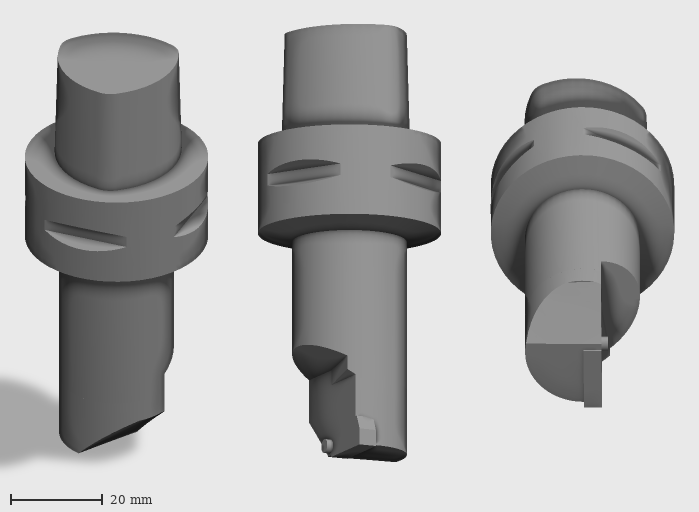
import cadquery as cq
import math

TOTAL_LENGTH = 94.1
COLLAR_TOP = 70.1
COLLAR_BOTTOM = 50.1
CONE_BOTTOM = 48.2
HEAD_TOP = 15.1

COLLAR_RADIUS = 40.0 / 2
NECK_RADIUS = 25.0 / 2
MARGIN = 4.7

LOBE_RADIUS = 15.0
FLANK_RADIUS = 13.1
LOBE_HALF_WIDTH = 2.35
LOBE_EDGE = 14.4
TAPER = 1 / 36

SLOT_COUNT = 4
SLOT_LEVEL = 60.1
SLOT_FLOOR = 17.5
SLOT_FLOOR_HEIGHT = 2.5
SLOT_MOUTH_HEIGHT = 5.5

FACE_ANGLE = 15.0
FACE_OFFSET = 4.1
RAMP_START = 19.3
RAMP_SLOPE = 0.53
STEP_BOTTOM = 16.0
STEP_TOP = 17.3
STEP_HEIGHT = 1.9
STRIP_START = 0.5

HEAD_BOTTOM_FRONT = 0.4
HEAD_BOTTOM_BACK = 0.75
RELIEF_START = (12.1, 10.2)
RELIEF_MID = (8.75, 7.1)
RELIEF_END = (2.3, 0.6)

INSERT_TIP = -13.7
INSERT_SHOULDER = -12.3
INSERT_END = 0.75
INSERT_LAND = 3.6
INSERT_HEIGHT = 6.7
INSERT_THICKNESS = 3.95

SCREW_RADIUS = 3.0 / 2
SCREW_POSITION = (1.1, 2.4)
SCREW_DEPTH = 3.95
SCREW_PROUD = 1.4


def face_plane(distance):
    """Plane parallel to the chip face, with local X along the face and local Y up Z."""
    angle = math.radians(FACE_ANGLE)
    along = (math.cos(angle), math.sin(angle), 0)
    inward = (math.sin(angle), -math.cos(angle), 0)
    origin = tuple(-distance * part for part in inward)
    return cq.Plane(origin=origin, xDir=along, normal=inward)


def prism_along_face(profile):
    """Solid from (distance from the axis, level) points, running right across the part."""
    solid = cq.Workplane("YZ").polyline(profile).close().extrude(COLLAR_RADIUS, both=True)
    return solid.rotate((0, 0, 0), (0, 0, 1), FACE_ANGLE)


def lobed_section(level, shrink):
    """Closed outline of three lobe arcs and three flank arcs, with one lobe on +Y."""
    edge_scale = 1 - shrink / math.hypot(LOBE_HALF_WIDTH, LOBE_EDGE)
    edge_angle = math.degrees(math.atan2(LOBE_HALF_WIDTH, LOBE_EDGE))
    edge_radius = math.hypot(LOBE_HALF_WIDTH, LOBE_EDGE) * edge_scale

    def polar(radius, degrees):
        angle = math.radians(degrees)
        return (radius * math.cos(angle), radius * math.sin(angle), level)

    edges = []
    for lobe in (90, 210, 330):
        lobe_start = polar(edge_radius, lobe - edge_angle)
        lobe_tip = polar(LOBE_RADIUS - shrink, lobe)
        lobe_end = polar(edge_radius, lobe + edge_angle)
        flank_mid = polar(FLANK_RADIUS - shrink, lobe + 60)
        flank_end = polar(edge_radius, lobe + 120 - edge_angle)
        edges.append(cq.Edge.makeThreePointArc(lobe_start, lobe_tip, lobe_end))
        edges.append(cq.Edge.makeThreePointArc(lobe_end, flank_mid, flank_end))
    return cq.Wire.assembleEdges(edges)


def make_shank():
    shrink = TAPER * (TOTAL_LENGTH - COLLAR_TOP)
    base = lobed_section(COLLAR_TOP, 0)
    top = lobed_section(TOTAL_LENGTH, shrink)
    return cq.Workplane(cq.Solid.makeLoft([base, top], True))


def cut_gripper_slots(body):
    depth = COLLAR_RADIUS - SLOT_FLOOR
    flare = (SLOT_MOUTH_HEIGHT - SLOT_FLOOR_HEIGHT) / 2 / depth
    reach = SLOT_FLOOR_HEIGHT / 2 + flare * (depth + MARGIN)
    outer = COLLAR_RADIUS + MARGIN
    profile = [
        (SLOT_FLOOR, SLOT_LEVEL - SLOT_FLOOR_HEIGHT / 2),
        (outer, SLOT_LEVEL - reach),
        (outer, SLOT_LEVEL + reach),
        (SLOT_FLOOR, SLOT_LEVEL + SLOT_FLOOR_HEIGHT / 2),
    ]
    slot = cq.Workplane("XZ").polyline(profile).close().extrude(COLLAR_RADIUS, both=True)
    spacing = 360 / SLOT_COUNT
    for index in range(SLOT_COUNT):
        body = body.cut(slot.rotate((0, 0, 0), (0, 0, 1), spacing * (index + 0.5)))
    return body


def make_chip_space():
    """Space in front of the chip face, up to the ramp."""
    outer = COLLAR_RADIUS
    ramp_end = RAMP_START + RAMP_SLOPE * (outer - FACE_OFFSET)
    return prism_along_face([
        (FACE_OFFSET, -MARGIN),
        (FACE_OFFSET, RAMP_START),
        (outer, ramp_end),
        (outer, -MARGIN),
    ])


def make_raised_strip():
    """Wedge that stays on the neck, rising towards -X and sloping off at its lower end."""
    edge = -NECK_RADIUS
    wedge = (
        cq.Workplane("XY").workplane(offset=STEP_BOTTOM)
        .polyline([(STRIP_START, FACE_OFFSET), (edge, FACE_OFFSET), (edge, FACE_OFFSET + STEP_HEIGHT)])
        .close().extrude(RAMP_START + MARGIN - STEP_BOTTOM)
        .rotate((0, 0, 0), (0, 0, 1), FACE_ANGLE)
    )
    top = RAMP_START + MARGIN
    sloped_end = prism_along_face([
        (FACE_OFFSET, STEP_BOTTOM),
        (FACE_OFFSET + STEP_HEIGHT, STEP_TOP),
        (FACE_OFFSET + STEP_HEIGHT, top),
        (FACE_OFFSET, top),
    ])
    return wedge.intersect(sloped_end)


def make_holder(chip_space):
    turned = (
        cq.Workplane("XZ")
        .polyline([
            (0, HEAD_TOP),
            (NECK_RADIUS, HEAD_TOP),
            (NECK_RADIUS, CONE_BOTTOM),
            (COLLAR_RADIUS, COLLAR_BOTTOM),
            (COLLAR_RADIUS, COLLAR_TOP),
            (0, COLLAR_TOP),
        ])
        .close().revolve(360, (0, 0, 0), (0, 1, 0))
    )
    body = cut_gripper_slots(turned).union(make_shank())
    return body.cut(chip_space.cut(make_raised_strip()))


def make_head(chip_space):
    blank = cq.Workplane("XY").circle(NECK_RADIUS).extrude(HEAD_TOP)
    end_face = prism_along_face([
        (FACE_OFFSET, HEAD_BOTTOM_FRONT),
        (-NECK_RADIUS, HEAD_BOTTOM_BACK),
        (-NECK_RADIUS, -MARGIN),
        (FACE_OFFSET, -MARGIN),
    ])
    relief = (
        cq.Workplane("XZ").moveTo(*RELIEF_START)
        .threePointArc(RELIEF_MID, RELIEF_END)
        .lineTo(RELIEF_END[0], -MARGIN)
        .lineTo(COLLAR_RADIUS, -MARGIN)
        .lineTo(COLLAR_RADIUS, RELIEF_START[1])
        .close().extrude(COLLAR_RADIUS, both=True)
        .rotate((0, 0, 0), (0, 0, 1), FACE_ANGLE)
    )
    return blank.cut(chip_space).cut(end_face).cut(relief)


def make_insert():
    return (
        cq.Workplane(face_plane(FACE_OFFSET))
        .polyline([
            (INSERT_TIP, 0),
            (INSERT_TIP, INSERT_LAND),
            (INSERT_SHOULDER, INSERT_HEIGHT),
            (INSERT_END, INSERT_HEIGHT),
            (INSERT_END, 0),
        ])
        .close().extrude(INSERT_THICKNESS)
    )


def make_screw():
    return (
        cq.Workplane(face_plane(FACE_OFFSET + SCREW_PROUD))
        .center(*SCREW_POSITION).circle(SCREW_RADIUS).extrude(SCREW_PROUD + SCREW_DEPTH)
    )


chip_space = make_chip_space()
screw = make_screw()
insert = make_insert().cut(screw)
head = make_head(chip_space).cut(insert).cut(screw)
holder = make_holder(chip_space)

bodies = [body.solids().val() for body in (holder, head, insert, screw)]
result = cq.Compound.makeCompound(bodies)